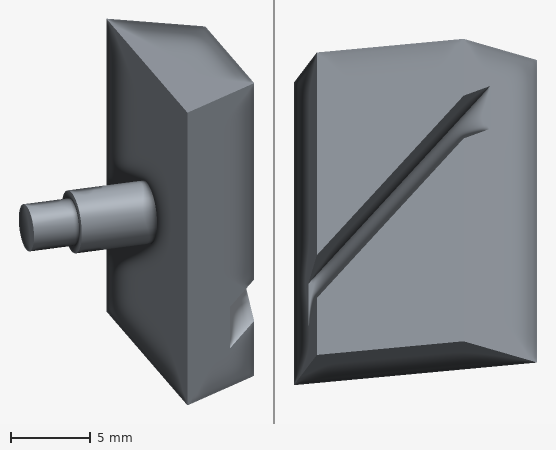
import cadquery as cq
import math

plate_width = 16.0
plate_height = 20.0
plate_depth = 5.5
flank_angle = 60.0

shank_diameter = 4.0
shank_length = 5.0
tip_diameter = 3.0
tip_length = 3.0

slot_width = 2.0
slot_depth = 2.0
slot_angle = 45.0
slot_length = 2 * plate_height


def make_plate():
    """Trapezoidal bar along Z, centred on the stud axis."""
    flank_run = plate_depth / math.tan(math.radians(flank_angle))
    half_wide = plate_width / 2
    half_narrow = half_wide - flank_run
    return (
        cq.Workplane("XY")
        .moveTo(-half_wide, 0)
        .lineTo(half_wide, 0)
        .lineTo(half_narrow, plate_depth)
        .lineTo(-half_narrow, plate_depth)
        .close()
        .extrude(plate_height / 2, both=True)
    )


def make_stud():
    """Shank and thinner tip on the Y axis."""
    shank = cq.Workplane("XZ").circle(shank_diameter / 2).extrude(shank_length)
    tip = (
        cq.Workplane("XZ", origin=(0, -shank_length, 0))
        .circle(tip_diameter / 2)
        .extrude(tip_length)
    )
    return shank.union(tip)


def make_slot():
    """Cutter for the diagonal slot, reaching slot_depth into the narrow face."""
    return (
        cq.Workplane("XY")
        .box(slot_length, slot_depth, slot_width)
        .translate((0, plate_depth - slot_depth / 2, 0))
        .rotate((0, 0, 0), (0, 1, 0), slot_angle)
    )


result = make_plate().cut(make_slot()).union(make_stud())